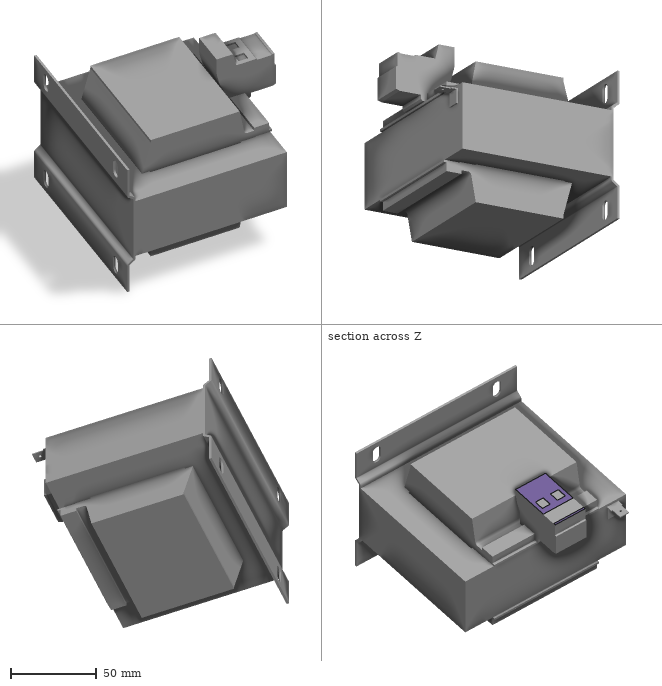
import cadquery as cq
import math


core_width = 120.0
core_depth = 100.0
core_height = 41.6
leg_width = core_width / 6
window_width = 4 * leg_width
core_top = core_height / 2

sheet = 1.5
bracket_height = 92.4
joggle = 4.0
bend_height = 25.5
bend_slope = 35
bend_radius = 0.5
slot_width = 6.0
slot_length = 12.0
slot_spacing_x = 89.7
slot_spacing_z = 72.9

core_front = joggle + sheet
core_back = core_front + core_depth

coil_width = 78.0
coil_top = 44.1
coil_foot_front = 20.5
coil_top_front = 26.3
rim_height = 1.9
coil_top_back = 85.0
channel_front = 88.4
channel_floor = 25.8
channel_radius = 2.0
ridge_front = 94.7
ridge_back = 104.6
ridge_top = 28.0
lip_back = core_back + 1.0
lip_top = 22.7
lip_gap = 0.4
lip_gap_front = 95.6

block_width = 22.5
block_center_x = -3.6
block_top = 60.4
block_front = 85.9
block_back = 125.2
tower_back_top = 96.7
tower_back_base = 99.0
deck_height = 51.1
deck_back = 112.1
back_deck_height = 50.2
back_deck_front = 113.0
back_rim_front = 122.4
back_rim_height = 50.7
back_rim_depth = 1.5
back_step_height = 42.0
edge_chamfer = 0.4
underside_height = 26.7
underside_chamfer_length = 2.5
underside_chamfer_height = 0.9
hook_back = 108.6
hook_chamfer = 1.1
hook_bottom = 23.0
neck_front = 90.9
neck_top = 34.7
throat_front = 88.2
throat_top = 40.1
curve_bottom_front = 86.4
curve_bottom = 46.8
curve_top = 50.6
pocket_width = 5.6
pocket_length = 6.4
pocket_depth = 1.4
pocket_spacing = 11.3
pocket_center_y = 105.1

tab_center_x = -50.0
tab_thickness = 0.8
tab_top = 18.9
tab_leg_bottom = 9.4
tab_leg_back = core_back + 1.0
tab_base_width = 8.5
tab_base_back = 109.6
tab_blade_width = 6.6
tab_blade_back = 117.0
tab_hole_diameter = 1.5
tab_hole_y = 113.1


def box(x_center, width, y_range, z_range):
    """Box centred on x_center that fills the given Y and Z ranges."""
    y_min, y_max = y_range
    z_min, z_max = z_range
    corner = (x_center - width / 2, y_min, z_min)
    return cq.Workplane("XY").box(width, y_max - y_min, z_max - z_min, centered=False).translate(corner)


def side_profile(x_center, width):
    """YZ workplane whose outline, extruded by width, is centred on x_center."""
    return cq.Workplane("YZ", origin=(x_center - width / 2, 0, 0))


def make_core():
    """Laminated core: a rectangular frame around the opening that holds the winding."""
    window_range = (core_front + leg_width, core_back - leg_width)
    core = box(0, core_width, (core_front, core_back), (-core_top, core_top))
    window = box(0, window_width, window_range, (-core_top, core_top))
    return core.cut(window)


def make_coil():
    """Winding that spans the core opening, with a housing above and below the core."""
    winding_range = (core_front + leg_width, core_back - leg_width)
    winding = box(0, coil_width, winding_range, (-core_top, core_top))
    upper = (
        side_profile(0, coil_width)
        .moveTo(coil_foot_front, core_top)
        .lineTo(coil_foot_front, core_top + lip_gap)
        .lineTo(coil_top_front, coil_top - rim_height)
        .lineTo(coil_top_front, coil_top)
        .lineTo(coil_top_back, coil_top)
        .lineTo(channel_front, channel_floor)
        .lineTo(ridge_front, channel_floor)
        .lineTo(ridge_front, ridge_top)
        .lineTo(ridge_back, ridge_top)
        .lineTo(ridge_back, lip_top)
        .lineTo(lip_back, lip_top)
        .lineTo(lip_back, core_top + lip_gap)
        .lineTo(lip_gap_front, core_top + lip_gap)
        .lineTo(lip_gap_front, core_top)
        .close()
        .extrude(coil_width)
    )
    channel_corner = (0, channel_front, channel_floor)
    upper = upper.edges(cq.NearestToPointSelector(channel_corner)).fillet(channel_radius)
    return winding.union(upper).union(upper.mirror("XY"))


def make_bracket():
    """Sheet-metal plate with two joggled mounting flanges and four slots."""
    half_height = bracket_height / 2
    miter = sheet * math.tan(math.radians(90 - bend_slope) / 2)
    web_drop = joggle * math.tan(math.radians(bend_slope))
    outer_bend = (0, bend_height)
    inner_bend = (core_front, bend_height - web_drop + miter)
    outer_bend_inside = (sheet, bend_height + miter)
    inner_bend_inside = (joggle, bend_height - web_drop)
    upper_half = (
        side_profile(0, core_width)
        .moveTo(0, half_height)
        .lineTo(*outer_bend)
        .lineTo(*inner_bend_inside)
        .lineTo(joggle, 0)
        .lineTo(core_front, 0)
        .lineTo(*inner_bend)
        .lineTo(*outer_bend_inside)
        .lineTo(sheet, half_height)
        .close()
        .extrude(core_width)
    )
    for bend, radius in (
        (outer_bend, bend_radius + sheet),
        (inner_bend, bend_radius + sheet),
        (outer_bend_inside, bend_radius),
        (inner_bend_inside, bend_radius),
    ):
        upper_half = upper_half.edges(cq.NearestToPointSelector((0, *bend))).fillet(radius)
    slots = (
        cq.Workplane("XZ")
        .rarray(slot_spacing_x, slot_spacing_z, 2, 2)
        .slot2D(slot_length, slot_width, 90)
        .extrude(-sheet)
    )
    return upper_half.union(upper_half.mirror("XY")).cut(slots)


def make_terminal_block():
    """Terminal block hooked over the coil ridge, with two pockets in its deck."""
    back_rim_back = back_rim_front + edge_chamfer + back_rim_depth
    block = (
        side_profile(block_center_x, block_width)
        .moveTo(block_front, block_top)
        .lineTo(tower_back_top, block_top)
        .lineTo(tower_back_base, deck_height)
        .lineTo(deck_back, deck_height)
        .lineTo(back_deck_front, back_deck_height)
        .lineTo(back_rim_front, back_deck_height)
        .lineTo(back_rim_front + edge_chamfer, back_rim_height)
        .lineTo(back_rim_back, back_rim_height)
        .lineTo(back_rim_back, back_step_height)
        .lineTo(block_back, back_step_height - edge_chamfer)
        .lineTo(block_back, underside_height + underside_chamfer_height)
        .lineTo(block_back - underside_chamfer_length, underside_height)
        .lineTo(hook_back, underside_height)
        .lineTo(hook_back, hook_bottom + hook_chamfer)
        .lineTo(hook_back - hook_chamfer, hook_bottom)
        .lineTo(ridge_back, hook_bottom)
        .lineTo(ridge_back, channel_floor)
        .lineTo(neck_front, channel_floor)
        .lineTo(neck_front, neck_top)
        .lineTo(throat_front, throat_top)
        .lineTo(curve_bottom_front, curve_bottom)
        .tangentArcPoint((block_front, curve_top), relative=False)
        .close()
        .extrude(block_width)
    )
    pockets = (
        cq.Workplane("XY", origin=(block_center_x, pocket_center_y, deck_height))
        .rarray(pocket_spacing, 1.3, 2, 1)
        .rect(pocket_width, pocket_length)
        .extrude(-pocket_depth)
    )
    return block.cut(pockets)


def make_earth_tab():
    """Angled earth tab: a leg on the back of the core and a blade with a hole."""
    blade_range = (tab_top - tab_thickness, tab_top)
    leg = box(tab_center_x, tab_base_width, (core_back, tab_leg_back), (tab_leg_bottom, tab_top))
    base = box(tab_center_x, tab_base_width, (core_back, tab_base_back), blade_range)
    blade = box(tab_center_x, tab_blade_width, (core_back, tab_blade_back), blade_range)
    hole = (
        cq.Workplane("XY", origin=(tab_center_x, tab_hole_y, tab_top))
        .circle(tab_hole_diameter / 2)
        .extrude(-tab_thickness)
    )
    return leg.union(base).union(blade).cut(hole)


result = (
    make_core()
    .union(make_coil())
    .union(make_bracket())
    .union(make_terminal_block())
    .union(make_earth_tab())
)